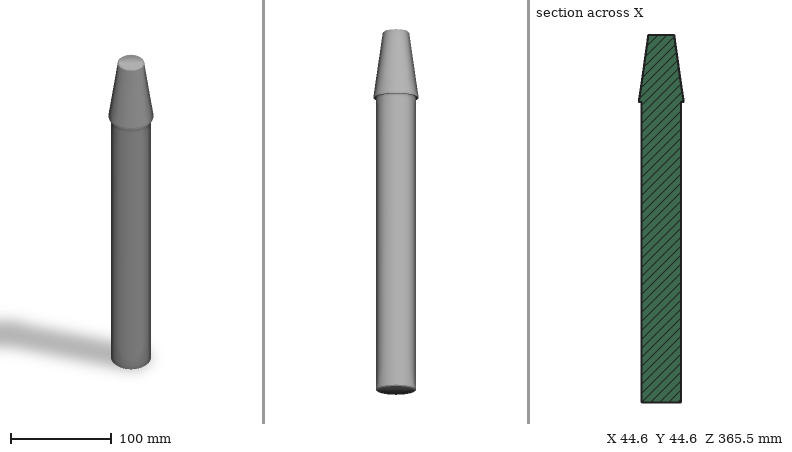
import cadquery as cq

total_height = 365.5
shaft_radius = 20.0
collar_radius = 22.3
tip_radius = 13.0

head_height = 67.2
collar_height = 2.2
base_chamfer = 1.0
tip_chamfer = 1.0

head_bottom = total_height - head_height
cone_bottom = head_bottom + collar_height

profile = (
    cq.Workplane("XZ")
    .moveTo(0, 0)
    .lineTo(shaft_radius - base_chamfer, 0)
    .lineTo(shaft_radius, base_chamfer)
    .lineTo(shaft_radius, head_bottom)
    .lineTo(collar_radius, head_bottom)
    .lineTo(collar_radius, cone_bottom)
    .lineTo(tip_radius, total_height - tip_chamfer)
    .lineTo(tip_radius - tip_chamfer, total_height)
    .lineTo(0, total_height)
    .close()
)

result = profile.revolve(360, (0, 0, 0), (0, 1, 0))